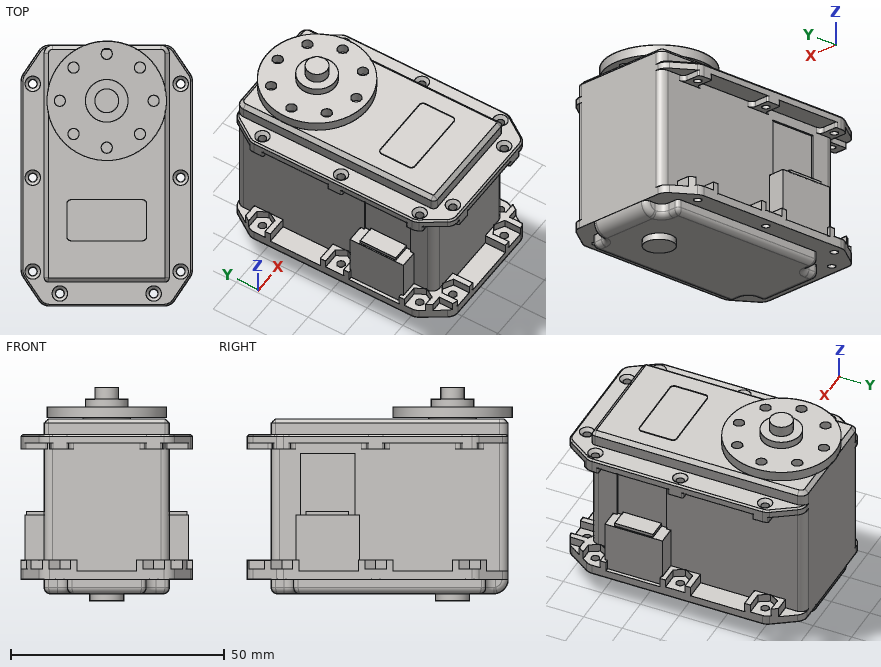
import cadquery as cq
import math


overall_length = 62.1
horn_diameter = 28.0

case_half_width = 14.65
case_back = 13.05
case_front = -42.5
case_top = 41.0
case_corner_radius = 2.0
cover_front_radius = 1.05
cover_chamfer = 1.0

notch_width = 5.45
notch_length = 5.3
notch_inner_radius = 2.3
notch_outer_radius = 1.0
cap_edge_radius = 1.5
cap_back_radius = 3.5

flange_width = 40.2
flange_half_width = flange_width / 2
flange_back = case_back
flange_front = horn_diameter / 2 - overall_length
corner_cut_width = 5.1
corner_cut_length = 7.6
flange_corner_radius = 3.0
lower_flange_bottom = 3.4
lower_flange_top = 5.4
upper_flange_bottom = 35.35
upper_flange_top = 37.3
upper_flange_chamfer = 0.45

screw_pitch = 22.0
side_screw_x = 17.3
back_screw_y = 4.0
side_screw_rows = 3
side_screw_ys = [back_screw_y - row * screw_pitch for row in range(side_screw_rows)]
front_screw_y = -45.15
front_screw_xs = [-screw_pitch / 2, screw_pitch / 2]
screw_hole_diameter = 2.0
screw_head_diameter = 3.6

pad_width = 8.0
pad_top = 7.9
nut_width = 5.0
nut_pocket_floor = 5.85

rib_width = 4.05
rib_bottom = 33.9
rib_root_radius = 1.25
rib_tip_radius = 0.4

recess_back = -22.8
recess_front = -35.65
recess_top = 32.9
recess_depth = 0.5
connector_half_width = 19.2
connector_back = -21.75
connector_front = -36.65
connector_top = 18.5
connector_lip_half_width = 18.8
connector_lip_back = -24.35
connector_lip_front = -34.3
connector_lip_top = 19.3

label_width = 18.7
label_back = -23.15
label_front = -32.8
label_corner_radius = 1.0
label_depth = 0.2

neck_diameter = 11.2
horn_bottom = 41.3
horn_top = 43.8
hub_diameter = 10.0
hub_top = 45.65
shaft_diameter = 5.6
shaft_top = 48.4
horn_hole_count = 8
horn_hole_circle_diameter = 22.0
horn_hole_diameter = 2.6
rear_pivot_diameter = 8.0
rear_pivot_bottom = -1.6

tolerance = 0.005


def block(x_min, x_max, y_min, y_max, z_min, z_max):
    size = (x_max - x_min, y_max - y_min, z_max - z_min)
    return cq.Workplane("XY").box(*size, centered=False).translate((x_min, y_min, z_min))


def case_block(z_min, z_max):
    return block(-case_half_width, case_half_width, case_front, case_back, z_min, z_max)


def disc(diameter, z_min, z_max):
    return cq.Workplane("XY").workplane(offset=z_min).circle(diameter / 2).extrude(z_max - z_min)


def vertical_edges(solid, accept):
    """Vertical edges of a solid whose centre (x, y) is accepted."""
    return solid.edges("|Z").filter(lambda edge: accept(edge.Center().x, edge.Center().y))


def is_near(value, targets):
    return any(abs(value - target) < tolerance for target in targets)


def bottom_cap():
    """Rounded bottom of the case, with its notches closed from above by the lower flange."""
    cap = case_block(0, lower_flange_top)
    inner_x = case_half_width - notch_width
    inner_back = case_back - notch_length
    inner_front = case_front + notch_length
    for side in (-1, 1):
        x_min, x_max = sorted((side * inner_x, side * case_half_width))
        cap = cap.cut(block(x_min, x_max, inner_back, case_back, 0, lower_flange_top))
        cap = cap.cut(block(x_min, x_max, case_front, inner_front, 0, lower_flange_top))

    def is_inner_corner(x, y):
        return is_near(abs(x), [inner_x]) and is_near(y, [inner_back, inner_front])

    def is_outer_corner(x, y):
        on_side = is_near(abs(x), [case_half_width])
        return on_side or is_near(y, [case_front])

    cap = vertical_edges(cap, is_inner_corner).fillet(notch_inner_radius)
    cap = vertical_edges(cap, is_outer_corner).fillet(notch_outer_radius)
    cap = cap.faces(">Y").edges("<Z").fillet(cap_back_radius)
    return cap.faces("<Z").edges("not >Y").fillet(cap_edge_radius)


def case():
    body = case_block(lower_flange_bottom, upper_flange_top).edges("|Z").fillet(case_corner_radius)
    cover = case_block(upper_flange_top, case_top)
    cover = cover.edges("|Z and >Y").fillet(case_corner_radius)
    cover = cover.edges("|Z and <Y").fillet(cover_front_radius)
    cover = cover.faces(">Z").chamfer(cover_chamfer)
    return body.union(cover).union(bottom_cap())


def flange_prism(z_min, z_max):
    cut_x = flange_half_width - corner_cut_width
    cut_back = flange_back - corner_cut_length
    cut_front = flange_front + corner_cut_length
    outline = [
        (cut_x, flange_front),
        (flange_half_width, cut_front),
        (flange_half_width, cut_back),
        (cut_x, flange_back),
        (-cut_x, flange_back),
        (-flange_half_width, cut_back),
        (-flange_half_width, cut_front),
        (-cut_x, flange_front),
    ]
    prism = cq.Workplane("XY").workplane(offset=z_min).polyline(outline).close().extrude(z_max - z_min)
    return prism.edges("|Z").fillet(flange_corner_radius)


def lug_blocks(width, z_min, z_max):
    """Blocks that run from inside the case to the flange edge, one centred on each screw."""
    half = width / 2
    inner_x = case_half_width - case_corner_radius
    inner_y = case_front + case_corner_radius
    lugs = cq.Workplane("XY")
    for y in side_screw_ys:
        lugs = lugs.union(block(-flange_half_width, -inner_x, y - half, y + half, z_min, z_max))
        lugs = lugs.union(block(inner_x, flange_half_width, y - half, y + half, z_min, z_max))
    for x in front_screw_xs:
        lugs = lugs.union(block(x - half, x + half, flange_front, inner_y, z_min, z_max))
    return lugs


def nut_pocket(x, y, outward_angle):
    """Hexagonal pocket with a corner towards the case, extended out past the flange edge."""
    hexagon_diameter = nut_width / math.cos(math.pi / 6)
    height = pad_top - nut_pocket_floor
    pocket = cq.Workplane("XY").polygon(6, hexagon_diameter).extrude(height)
    pocket = pocket.union(block(0, nut_width, -nut_width / 2, nut_width / 2, 0, height))
    pocket = pocket.rotate((0, 0, 0), (0, 0, 1), outward_angle)
    return pocket.translate((x, y, nut_pocket_floor))


def corner_floor():
    """Raised floor between the side lug and front lug at the two front corners."""
    y_max = side_screw_ys[-1]
    x_min = front_screw_xs[-1]
    right = block(x_min, flange_half_width, flange_front, y_max, lower_flange_top, nut_pocket_floor)
    return right.union(right.mirror("YZ"))


def lower_flange():
    lugs = lug_blocks(pad_width, lower_flange_top, pad_top).union(corner_floor())
    lugs = lugs.intersect(flange_prism(lower_flange_top, pad_top))
    return flange_prism(lower_flange_bottom, lower_flange_top).union(lugs)


def cut_nut_pockets(part):
    for y in side_screw_ys:
        part = part.cut(nut_pocket(side_screw_x, y, 0))
        part = part.cut(nut_pocket(-side_screw_x, y, 180))
    for x in front_screw_xs:
        part = part.cut(nut_pocket(x, front_screw_y, -90))
    return part


def upper_flange_ribs():
    """Lugs below the upper flange; at each front corner two lug walls meet in a rounded corner."""
    half = rib_width / 2
    corner_x = screw_pitch / 2 + half
    corner_y = side_screw_ys[-1] - half
    wall_ys = [y + side * half for y in side_screw_ys for side in (-1, 1)]
    wall_xs = [screw_pitch / 2 - half, screw_pitch / 2 + half]
    inner_back = case_back - case_corner_radius

    ribs = block(-case_half_width, case_half_width, corner_y, inner_back, rib_bottom, upper_flange_bottom)
    ribs = ribs.union(block(-corner_x, corner_x, case_front, corner_y, rib_bottom, upper_flange_bottom))
    ribs = ribs.union(lug_blocks(rib_width, rib_bottom, upper_flange_bottom))
    ribs = ribs.intersect(flange_prism(rib_bottom, upper_flange_bottom))

    def is_root(x, y):
        side_root = is_near(abs(x), [case_half_width]) and is_near(y, wall_ys) and y > corner_y + tolerance
        front_root = is_near(y, [case_front]) and is_near(abs(x), wall_xs)
        corner_root = is_near(abs(x), [corner_x]) and is_near(y, [corner_y])
        return side_root or front_root or corner_root

    def is_tip(x, y):
        side_tip = abs(x) > side_screw_x and is_near(y, wall_ys)
        front_tip = y < front_screw_y and is_near(abs(x), wall_xs)
        return side_tip or front_tip

    ribs = vertical_edges(ribs, is_root).fillet(rib_root_radius)
    return vertical_edges(ribs, is_tip).fillet(rib_tip_radius)


def upper_flange():
    plate = flange_prism(upper_flange_bottom, upper_flange_top)
    plate = plate.faces(">Z").chamfer(upper_flange_chamfer)
    return plate.union(upper_flange_ribs())


def drill_screws(part):
    """Screw holes through both flanges, with 90 degree countersinks in the upper one."""
    points = [(side * side_screw_x, y) for side in (-1, 1) for y in side_screw_ys]
    points += [(x, front_screw_y) for x in front_screw_xs]
    plane = cq.Workplane("XY").workplane(offset=upper_flange_top).pushPoints(points)
    hole = plane.circle(screw_hole_diameter / 2).extrude(lower_flange_bottom - upper_flange_top)
    head_radius = screw_head_diameter / 2
    head = cq.Solid.makeCone(0, head_radius, head_radius)
    heads = plane.eachpoint(lambda place: head.translate((0, 0, -head_radius)).moved(place))
    return part.cut(hole).cut(heads)


def side_recesses():
    inner_x = case_half_width - recess_depth
    right = block(inner_x, case_half_width, recess_front, recess_back, lower_flange_top, recess_top)
    return right.union(right.mirror("YZ"))


def connectors():
    inner_x = case_half_width - recess_depth
    body = block(inner_x, connector_half_width, connector_front, connector_back, lower_flange_top, connector_top)
    lip = block(
        inner_x,
        connector_lip_half_width,
        connector_lip_front,
        connector_lip_back,
        connector_top,
        connector_lip_top,
    )
    right = body.union(lip)
    return right.union(right.mirror("YZ"))


def label_recess():
    half = label_width / 2
    recess = block(-half, half, label_front, label_back, case_top - label_depth, case_top)
    return recess.edges("|Z").fillet(label_corner_radius)


def output_horn():
    horn = disc(horn_diameter, horn_bottom, horn_top)
    holes = (
        cq.Workplane("XY")
        .workplane(offset=horn_bottom)
        .polarArray(horn_hole_circle_diameter / 2, 0, 360, horn_hole_count)
        .circle(horn_hole_diameter / 2)
        .extrude(horn_top - horn_bottom)
    )
    horn = horn.cut(holes)
    horn = horn.union(disc(neck_diameter, case_top, horn_bottom))
    horn = horn.union(disc(hub_diameter, horn_top, hub_top))
    return horn.union(disc(shaft_diameter, hub_top, shaft_top))


result = case().cut(side_recesses()).cut(label_recess())
result = cut_nut_pockets(result.union(lower_flange()))
result = result.union(upper_flange()).union(connectors())
result = drill_screws(result)
result = result.union(output_horn()).union(disc(rear_pivot_diameter, rear_pivot_bottom, 0))